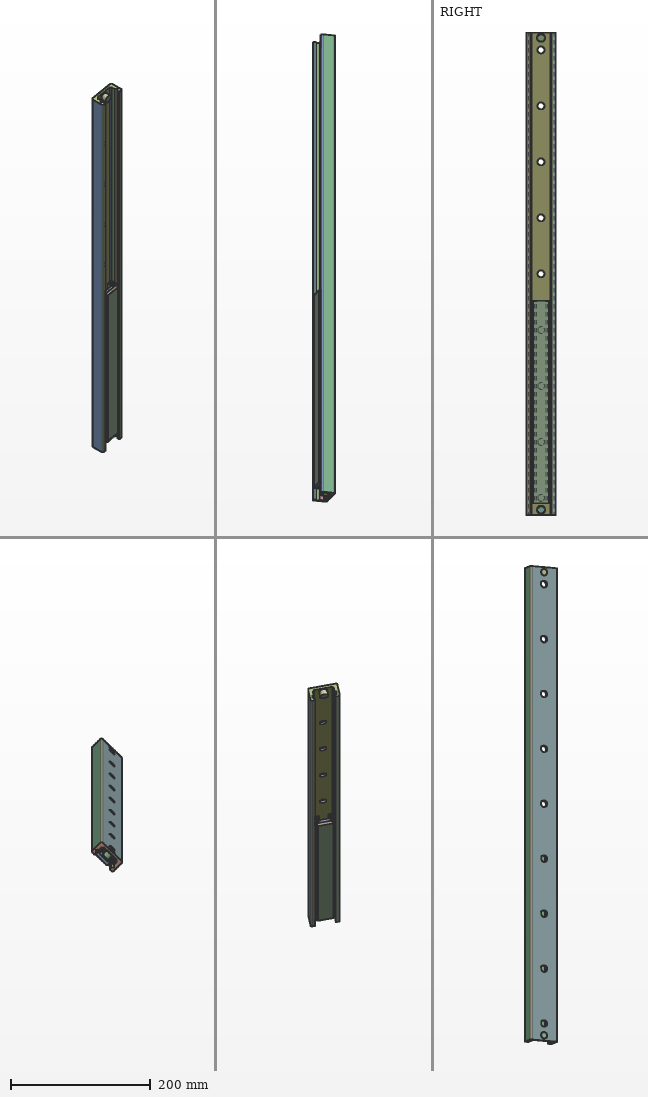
import cadquery as cq

rail_length = 690.0
rail_width = 43.0
rail_depth = 21.0
rail_wall = 4.0
flange_thickness = 6.0
back_fillet = 2.4
front_fillet = 2.0
inner_chamfer = 2.0

race_center_x = 14.5
race_radius = 2.4
rail_race_depth = 3.0

hole_diameter = 10.0
hole_count = 9
hole_end_offset = 25.0
hole_pitch = (rail_length - 2 * hole_end_offset) / (hole_count - 1)

pin_shank_diameter = 10.0
pin_head_diameter = 12.0
pin_length = 13.0
pin_end_offset = 7.5
pin_edge_chamfer = 0.35

carriage_bottom = 16.5
carriage_length = 290.0
carriage_width = 23.5
carriage_face_x = 22.0
carriage_web = 5.0
carriage_arm = 3.0
carriage_open_x = 10.5
carriage_race_depth = 1.5
carriage_chamfer = 1.0

cage_back_x = 6.0
cage_lip_end_x = 20.0
cage_crown_back_x = 13.0
cage_sheet = 2.0
cage_width = 30.0

flange_inner_y = rail_width / 2 - flange_thickness
carriage_web_x = carriage_face_x - carriage_web
carriage_opening = carriage_width - 2 * carriage_arm
pin_heights = [pin_end_offset, rail_length - pin_end_offset]


def slab(x_start, x_end, width, bottom, length):
    """Block centred on Y, between two X planes."""
    return (
        cq.Workplane("XY")
        .box(x_end - x_start, width, length, centered=(False, True, False))
        .translate((x_start, 0, bottom))
    )


def cross_cylinder(diameter, length, height):
    """Cylinder along +X that starts at the rail back."""
    return cq.Workplane("YZ").center(0, height).circle(diameter / 2).extrude(length)


def make_rail():
    """Full-length channel with a race in each flange and holes through its wall."""
    body = slab(0, rail_depth, rail_width, 0, rail_length)
    body = body.edges("|Z and <X").fillet(back_fillet)
    body = body.edges("|Z and >X").fillet(front_fillet)
    channel = slab(rail_wall, rail_depth, 2 * flange_inner_y, 0, rail_length)
    channel = channel.edges("|Z and <X").chamfer(inner_chamfer)
    body = body.cut(channel)
    race_y = flange_inner_y + rail_race_depth - race_radius
    races = (
        cq.Workplane("XY")
        .pushPoints([(race_center_x, race_y), (race_center_x, -race_y)])
        .circle(race_radius)
        .extrude(rail_length)
    )
    body = body.cut(races)
    for index in range(hole_count):
        height = hole_end_offset + index * hole_pitch
        body = body.cut(cross_cylinder(hole_diameter, rail_wall, height))
    for height in pin_heights:
        body = body.cut(cross_cylinder(pin_shank_diameter, rail_wall, height))
    return body


def make_pin(height):
    """Round stop: a shank through the rail wall and a wider head inside the channel."""
    shank = cross_cylinder(pin_shank_diameter, rail_wall, height).faces("<X").chamfer(pin_edge_chamfer)
    head = cross_cylinder(pin_head_diameter, pin_length - rail_wall, height).translate((rail_wall, 0, 0))
    return shank.union(head)


def make_carriage():
    """Short channel with a race along each outer side."""
    body = slab(carriage_open_x, carriage_face_x, carriage_width, carriage_bottom, carriage_length)
    body = body.edges("|Z and >X").chamfer(carriage_chamfer)
    opening = slab(carriage_open_x, carriage_web_x, carriage_opening, carriage_bottom, carriage_length)
    race_y = carriage_width / 2 + race_radius - carriage_race_depth
    races = (
        cq.Workplane("XY", origin=(0, 0, carriage_bottom))
        .pushPoints([(race_center_x, race_y), (race_center_x, -race_y)])
        .circle(race_radius)
        .extrude(carriage_length)
    )
    return body.cut(opening).cut(races)


def make_cage():
    """Hat section: crown inside the carriage, brims behind it and lips around its sides."""
    bottom, length = carriage_bottom, carriage_length
    brim_front_x = cage_back_x + cage_sheet
    crown_hollow = carriage_opening - 2 * cage_sheet
    lip_spacing = cage_width - 2 * cage_sheet
    crown = slab(cage_back_x, carriage_web_x, carriage_opening, bottom, length)
    wrap = slab(cage_back_x, cage_lip_end_x, cage_width, bottom, length)
    wrap = wrap.cut(slab(brim_front_x, cage_lip_end_x, lip_spacing, bottom, length))
    hollow = slab(cage_back_x, cage_crown_back_x, crown_hollow, bottom, length)
    return crown.union(wrap).cut(hollow)


rail = make_rail()
pins = [make_pin(height) for height in pin_heights]
carriage = make_carriage()
cage = make_cage()

result = cq.Compound.makeCompound(
    [rail.val(), carriage.val(), cage.val()] + [pin.val() for pin in pins]
)